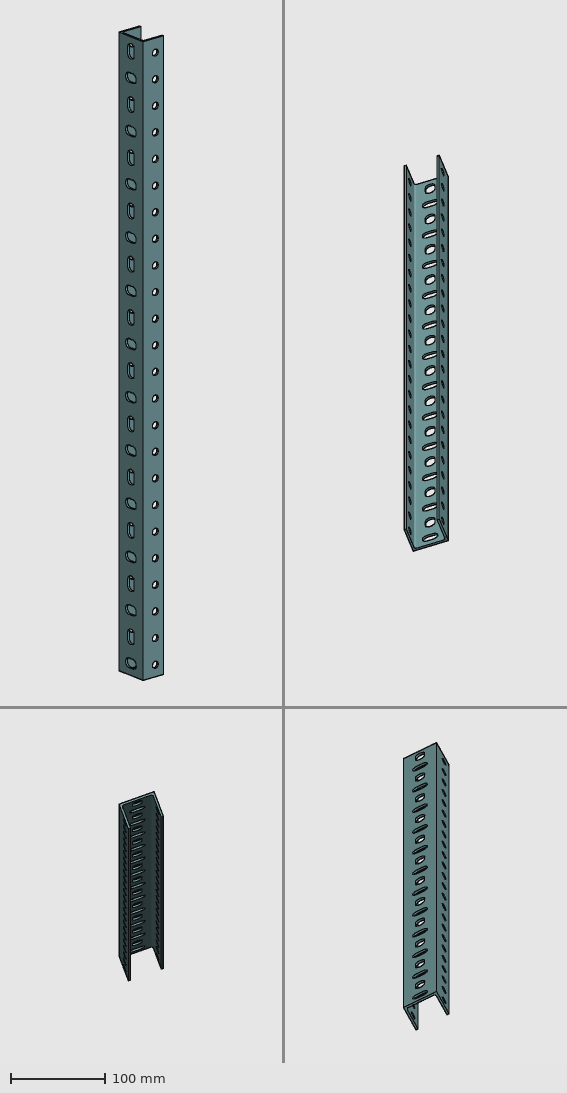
import cadquery as cq

length = 720.0
width = 39.5
depth = 29.0
wall = 2.5
inner_corner_radius = 2.0

hole_count = 24
hole_pitch = length / hole_count
first_hole_height = 14.0

slot_length = 17.0
slot_width = 11.0

flange_hole_diameter = 8.0
flange_hole_y = 17.0


def channel():
    """Channel standing along Z, with its web's outer face on Y = 0."""
    outer = cq.Workplane("XY").box(width, depth, length, centered=(True, False, False))
    inner = (
        cq.Workplane("XY")
        .box(width - 2 * wall, depth, length, centered=(True, False, False))
        .edges("|Z and <Y")
        .fillet(inner_corner_radius)
        .translate((0, wall, 0))
    )
    return outer.cut(inner)


def web_slots(centres, angle):
    """Cutters through the web; angle 0 is crosswise, 90 is lengthwise."""
    return (
        cq.Workplane("XZ")
        .pushPoints([(0, z) for z in centres])
        .slot2D(slot_length, slot_width, angle)
        .extrude(depth / 2, both=True)
    )


def flange_holes(centres):
    """Cutters through both flanges."""
    return (
        cq.Workplane("YZ")
        .pushPoints([(flange_hole_y, z) for z in centres])
        .circle(flange_hole_diameter / 2)
        .extrude(width, both=True)
    )


hole_heights = [first_hole_height + i * hole_pitch for i in range(hole_count)]
crosswise_heights = hole_heights[0::2]
lengthwise_heights = hole_heights[1::2]

result = (
    channel()
    .cut(web_slots(crosswise_heights, 0))
    .cut(web_slots(lengthwise_heights, 90))
    .cut(flange_holes(hole_heights))
)